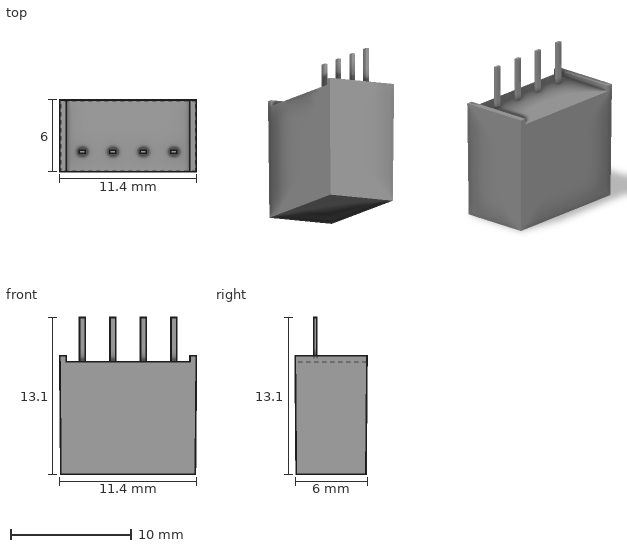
import cadquery as cq
import math

top_length = 11.4
top_width = 6.0
housing_height = 9.9
draft_angle = 0.5
draft_inset = housing_height * math.tan(math.radians(draft_angle))
bottom_length = top_length - 2 * draft_inset
bottom_width = top_width - 2 * draft_inset

rail_thickness = 0.55
rail_height = 0.5
floor_height = housing_height - rail_height

overall_height = 13.1
pin_count = 4
pin_pitch = 2.54
pin_length_x = 0.51
pin_width_y = 0.26
pin_row_y = -1.32


def make_housing():
    """Tapered block with a full-width recess between two end rails."""
    block = (
        cq.Workplane("XY")
        .rect(bottom_length, bottom_width)
        .workplane(offset=housing_height)
        .rect(top_length, top_width)
        .loft(ruled=True)
    )
    recess = (
        cq.Workplane("XY")
        .workplane(offset=floor_height)
        .rect(top_length - 2 * rail_thickness, top_width)
        .extrude(rail_height)
    )
    return block.cut(recess)


def make_pin(x):
    """Rectangular pin that rises from the recess floor."""
    return (
        cq.Workplane("XY")
        .workplane(offset=floor_height)
        .center(x, pin_row_y)
        .rect(pin_length_x, pin_width_y)
        .extrude(overall_height - floor_height)
    )


housing = make_housing()
pins = []
for index in range(pin_count):
    pin_x = (index - (pin_count - 1) / 2) * pin_pitch
    pins.append(make_pin(pin_x).val())

result = cq.Compound.makeCompound([housing.val(), *pins])